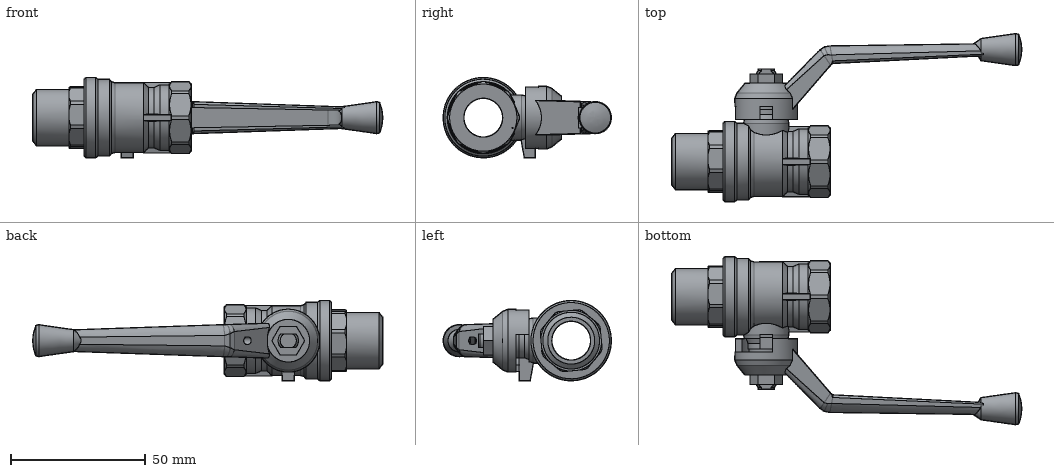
import cadquery as cq


thread_end = 13.5
thread_radius = 10.5
thread_chamfer = 1.4
thread_end_radius = 8.7
small_octagon_end = 19.0
small_octagon_corner_radius = 12.1
small_octagon_turn = 17.0
small_octagon_cut_radius = 11.9
small_octagon_chamfer = 0.5
flange_end = 23.5
flange_radius = 15.0
flange_edge = 0.8
collar_end = 28.5
collar_radius = 14.3
collar_shoulder_x = 29.3
collar_shoulder_radius = 13.4
barrel_start = 30.6
barrel_radius = 13.0
groove_start = 41.3
groove_floor_start = 43.1
groove_floor_end = 45.2
groove_end = 47.3
groove_radius = 11.3
shoulder_radius = 12.2
large_octagon_start = 50.8
body_length = 59.0
large_octagon_corner_radius = 13.7
large_octagon_cut_radius = 13.4
large_octagon_chamfer = 0.9
rib_base_width = 3.1
rib_crest_width = 2.1
rib_base_height = 10.4
rib_height = 13.2
bore_radius = 7.2

stem_x = 35.2
neck_radius = 8.5
neck_top = 15.6
neck_taper_start = 14.2
neck_top_radius = 8.2
spigot_radius = 6.8
spigot_foot_radius = 7.4
spigot_foot_top = 17.5
spigot_top = 19.4
shaft_radius = 6.5
tab_width = 4.5
tab_end = 15.0
tab_low_outer = 15.2
tab_low_inner = 12.5

hub_radius = 11.7
hub_bottom = 15.6
hub_cavity_radius = 9.4
hub_cavity_top = 20.6
hub_side_top = 23.6
hub_round_top = 25.5
hub_round_radius = 11.0
hub_top = 29.2
hub_top_radius = 8.0
nut_corner_radius = 6.1
nut_top = 32.7
stud_radius = 3.8
stud_tip_radius = 3.0
stud_chamfer_top = 33.9
stud_top = 34.5
stud_flats = 5.0

arm_sections = [
    ((43.5, 17.7), (38.7, 24.9), 6.5, 5.3, 0.15, 0.1),
    ((59.1, 35.8), (55.2, 41.7), 6.0, 3.4, 0.38, 0.1),
    ((59.5, 36.2), (56.8, 42.7), 6.0, 2.6, 0.45, 0.1),
    ((60.0, 36.5), (58.9, 43.1), 6.0, 2.0, 0.51, 1.0),
    ((115.9, 39.3), (115.9, 43.9), 4.0, 1.3, 0.58, 0.7),
]
crown_bulge = 0.62
channel_start = 58.9
channel_floor = 41.2
channel_end_radius = 5.5
channel_end = 115.3
channel_start_half_width = 3.8
channel_end_half_width = 2.7
arm_hole_radius = 1.4
arm_hole_y = 36.7
arm_hole_end = 66.4
grip_y = 41.7
grip_start = 111.4
grip_start_radius = 1.5
grip_neck = 115.1
grip_neck_radius = 4.2
grip_rim = 127.9
grip_radius = 6.0
grip_dome_start = 129.1
grip_dome_radius = 5.7
grip_dome_middle_x = 130.0
grip_dome_middle_radius = 2.9
overall_length = 130.2


def turned_x(points):
    """Solid of revolution about the X axis; points are (x, radius)."""
    outline = [(points[0][0], 0)] + points + [(points[-1][0], 0)]
    solid = cq.Workplane("XY").polyline(outline).close().revolve(360, (0, 0), (1, 0))
    return solid


def turned_stem(points):
    """Solid of revolution about the stem axis; points are (radius, y)."""
    outline = [(0, points[0][1])] + points + [(0, points[-1][1])]
    solid = cq.Workplane("XY").polyline(outline).close().revolve(360, (0, 0), (0, 1))
    return solid.translate((stem_x, 0, 0))


def octagon(start, end, corner_radius, turn, cut_radius, chamfer):
    """Octagonal bar along X whose corners and ends are trimmed by a turned blank."""
    bar = (
        cq.Workplane("YZ", origin=(start, 0, 0))
        .polygon(8, 2 * corner_radius)
        .extrude(end - start)
        .rotate((0, 0, 0), (1, 0, 0), turn)
    )
    blank = turned_x([
        (start, cut_radius - chamfer),
        (start + chamfer, cut_radius),
        (end - chamfer, cut_radius),
        (end, cut_radius - chamfer),
    ])
    return bar.intersect(blank)


def make_body():
    body = turned_x([
        (0, thread_end_radius),
        (thread_chamfer, thread_radius),
        (thread_end, thread_radius),
        (small_octagon_end, thread_radius),
        (small_octagon_end, flange_radius - flange_edge),
        (small_octagon_end + flange_edge, flange_radius),
        (flange_end, flange_radius),
        (flange_end + flange_edge, collar_radius),
        (collar_end, collar_radius),
        (collar_shoulder_x, collar_shoulder_radius),
        (barrel_start, barrel_radius),
        (groove_start, barrel_radius),
        (groove_floor_start, groove_radius),
        (groove_floor_end, groove_radius),
        (groove_end, shoulder_radius),
        (body_length, shoulder_radius),
    ])
    body = body.union(octagon(
        thread_end, small_octagon_end + small_octagon_chamfer, small_octagon_corner_radius,
        small_octagon_turn, small_octagon_cut_radius, small_octagon_chamfer,
    ))
    body = body.union(octagon(
        large_octagon_start, body_length, large_octagon_corner_radius, 0,
        large_octagon_cut_radius, large_octagon_chamfer,
    ))
    rib_length = large_octagon_start + large_octagon_chamfer - groove_start
    rib = (
        cq.Workplane("YZ", origin=(groove_start, 0, 0))
        .polyline([
            (rib_base_height, -rib_base_width / 2),
            (rib_height, -rib_crest_width / 2),
            (rib_height, rib_crest_width / 2),
            (rib_base_height, rib_base_width / 2),
        ])
        .close()
        .extrude(rib_length)
    )
    for angle in (0, 90, 180, 270):
        body = body.union(rib.rotate((0, 0, 0), (1, 0, 0), angle))
    return body


def make_stem():
    neck = turned_stem([
        (neck_radius, 0),
        (neck_radius, neck_taper_start),
        (neck_top_radius, neck_top),
        (spigot_foot_radius, neck_top),
        (spigot_radius, spigot_foot_top),
        (spigot_radius, spigot_top),
        (shaft_radius, spigot_top),
        (shaft_radius, hub_cavity_top),
    ])
    tab = (
        cq.Workplane("YZ", origin=(stem_x - tab_width / 2, 0, 0))
        .polyline([(spigot_top, 0), (spigot_top, -tab_end), (tab_low_outer, -tab_end), (tab_low_inner, 0)])
        .close()
        .extrude(tab_width)
    )
    return neck.union(tab)


def make_hub():
    return turned_stem([
        (hub_radius, hub_bottom),
        (hub_radius, hub_side_top),
        (hub_round_radius, hub_round_top),
        (hub_top_radius, hub_top),
    ])


def cut_hub_underside(lever):
    """Hollow the hub and open its skirt where the stop tab travels."""
    depth = hub_cavity_top - hub_bottom
    cavity = turned_stem([(hub_cavity_radius, hub_bottom), (hub_cavity_radius, hub_cavity_top)])
    half_tab = tab_width / 2
    travel = cq.Workplane("XY").box(hub_radius + half_tab, depth, hub_radius + half_tab, centered=False)
    travel = travel.translate((stem_x - hub_radius, hub_bottom, -hub_radius))
    notch = cq.Workplane("XY").box(tab_width, depth, hub_radius, centered=(True, False, False))
    notch = notch.translate((stem_x, hub_bottom, 0))
    return lever.cut(cavity).cut(travel).cut(notch)


def make_nut():
    nut = (
        cq.Workplane("XZ", origin=(stem_x, hub_top, 0))
        .polygon(6, 2 * nut_corner_radius)
        .extrude(hub_top - nut_top)
    )
    stud = turned_stem([
        (stud_radius, hub_top),
        (stud_radius, nut_top),
        (stud_tip_radius, stud_chamfer_top),
        (stud_tip_radius, stud_top),
    ])
    flats = cq.Workplane("XY").box(2 * stud_radius, 2 * stud_top, stud_flats).translate((stem_x, 0, 0))
    return nut.union(stud.intersect(flats))


def arm_section(bottom, top, half_width, top_half_width, crown, chamfer):
    """Closed section from a bottom to a top (x, y) point: chamfered below, rounded above."""
    bottom_middle = cq.Vector(*bottom, 0)
    height = cq.Vector(*top, 0) - bottom_middle

    def at(fraction, z):
        return bottom_middle + height * fraction + cq.Vector(0, 0, z)

    chamfer_top = chamfer / height.Length
    crown_start = 1 - crown
    crown_middle = 1 - crown * (1 - crown_bulge)
    crown_middle_z = top_half_width + crown_bulge * (half_width - top_half_width)
    line = cq.Edge.makeLine
    arc = cq.Edge.makeThreePointArc
    return cq.Wire.assembleEdges([
        line(at(0, chamfer - half_width), at(0, half_width - chamfer)),
        line(at(0, half_width - chamfer), at(chamfer_top, half_width)),
        line(at(chamfer_top, half_width), at(crown_start, half_width)),
        arc(at(crown_start, half_width), at(crown_middle, crown_middle_z), at(1, top_half_width)),
        line(at(1, top_half_width), at(1, -top_half_width)),
        arc(at(1, -top_half_width), at(crown_middle, -crown_middle_z), at(crown_start, -half_width)),
        line(at(crown_start, -half_width), at(chamfer_top, -half_width)),
        line(at(chamfer_top, -half_width), at(0, chamfer - half_width)),
    ])


def make_arm():
    """Cranked, tapering arm with a hole running along X just behind the bend."""
    sections = [arm_section(*section) for section in arm_sections]
    arm = cq.Workplane(cq.Solid.makeLoft(sections, True))
    hole = (
        cq.Workplane("YZ", origin=(stem_x, arm_hole_y, 0))
        .circle(arm_hole_radius)
        .extrude(arm_hole_end - stem_x)
    )
    return arm.cut(hole)


def make_channel():
    """Tapered trough in the underside of the arm, sweeping down to its far end in a quarter round."""
    plan = (
        cq.Workplane("XZ", origin=(0, grip_y, 0))
        .polyline([
            (channel_start, channel_start_half_width),
            (channel_end, channel_end_half_width),
            (channel_end, -channel_end_half_width),
            (channel_start, -channel_start_half_width),
        ])
        .close()
        .extrude(grip_y)
    )
    side = (
        cq.Workplane("XY", origin=(0, 0, -channel_start_half_width))
        .moveTo(channel_start, 0)
        .lineTo(channel_start, channel_floor)
        .lineTo(channel_end - channel_end_radius, channel_floor)
        .radiusArc((channel_end, channel_floor - channel_end_radius), channel_end_radius)
        .lineTo(channel_end, 0)
        .close()
        .extrude(2 * channel_start_half_width)
    )
    return plan.intersect(side)


def make_grip():
    """Conical grip with a steeper neck and a shallow domed end."""
    grip = (
        cq.Workplane("XY")
        .moveTo(overall_length, 0)
        .threePointArc((grip_dome_middle_x, grip_dome_middle_radius), (grip_dome_start, grip_dome_radius))
        .lineTo(grip_rim, grip_radius)
        .lineTo(grip_neck, grip_neck_radius)
        .lineTo(grip_start, grip_start_radius)
        .lineTo(grip_start, 0)
        .close()
        .revolve(360, (0, 0), (1, 0))
    )
    return grip.translate((0, grip_y, 0))


bore = turned_x([(0, bore_radius), (body_length, bore_radius)])
lever = cut_hub_underside(make_hub().union(make_arm()))
lever = lever.union(make_grip()).cut(make_channel())
result = make_body().union(make_stem()).cut(bore).union(lever).union(make_nut())